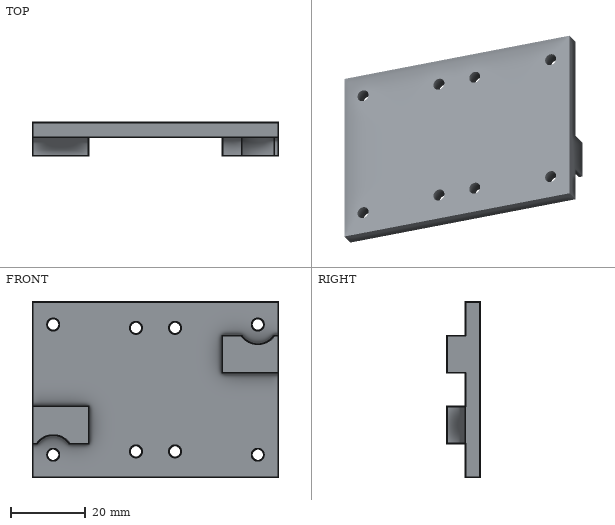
import cadquery as cq

plate_length = 66.0
plate_height = 47.2
plate_thickness = 4.0

block_length = 15.0
block_height = 10.0
block_depth = 5.0
block_gap = 9.0

hole_diameter = 3.2
corner_spacing_x = 55.0
corner_spacing_z = 35.0
inner_spacing_x = 10.5
inner_spacing_z = 33.2

clearance_radius = 5.3


def cylinder_along_y(x, z, radius, y_start, length):
    """Cylinder starting at y_start and running toward +Y."""
    return cq.Workplane(cq.Solid.makeCylinder(radius, length, cq.Vector(x, y_start, z), cq.Vector(0, 1, 0)))


def make_plate():
    """Plate with its front face at Y = 0."""
    plate = cq.Workplane().box(plate_length, plate_thickness, plate_height, centered=(True, False, True))
    for spacing_x, spacing_z in (
        (corner_spacing_x, corner_spacing_z),
        (inner_spacing_x, inner_spacing_z),
    ):
        for side_x in (-1, 1):
            for side_z in (-1, 1):
                hole = cylinder_along_y(
                    side_x * spacing_x / 2, side_z * spacing_z / 2, hole_diameter / 2, 0, plate_thickness
                )
                plate = plate.cut(hole)
    return plate


def make_block(side):
    """Block in front of the plate: side 1 is right and upper, side -1 is left and lower."""
    center_x = side * (plate_length - block_length) / 2
    center_z = side * (block_gap + block_height) / 2
    block = cq.Workplane().box(block_length, block_depth, block_height)
    block = block.translate((center_x, -block_depth / 2, center_z))
    clearance = cylinder_along_y(
        side * corner_spacing_x / 2, side * corner_spacing_z / 2, clearance_radius, -block_depth, block_depth
    )
    return block.cut(clearance)


result = make_plate()
for end in (-1, 1):
    result = result.union(make_block(end))